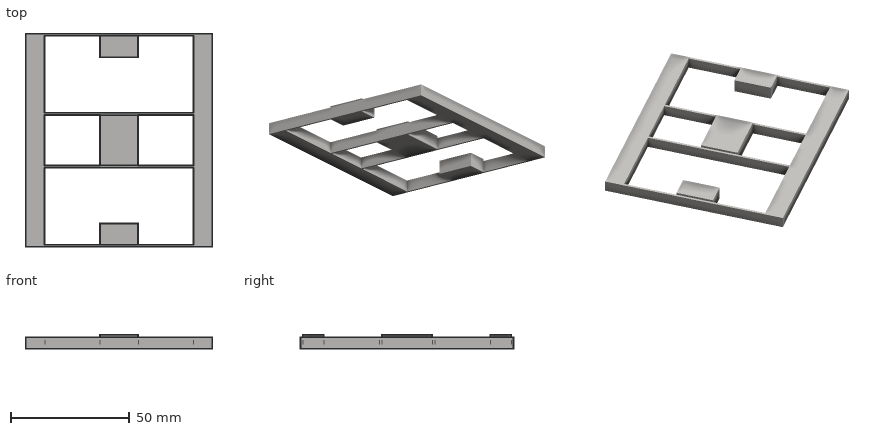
import cadquery as cq

frame_width = 79.2
frame_length = 90.4
frame_height = 5.0
rail_width = 8.1
wall_thickness = 1.0

block_width = 16.3
end_block_length = 9.0
center_block_length = 21.3
block_height = 6.0

opening_width = frame_width - 2 * rail_width
end_wall_y = (frame_length - wall_thickness) / 2
inner_wall_y = (center_block_length + wall_thickness) / 2
end_block_y = frame_length / 2 - wall_thickness - end_block_length / 2


def bar(size_x, size_y, height, x=0, y=0):
    """Upright box centered at (x, y) with its base on Z = 0."""
    return cq.Workplane("XY").box(size_x, size_y, height, centered=(True, True, False)).translate((x, y, 0))


result = bar(block_width, center_block_length, block_height)

for side in (-1, 1):
    rail_x = side * (frame_width - rail_width) / 2
    result = result.union(bar(rail_width, frame_length, frame_height, x=rail_x))
    for wall_y in (end_wall_y, inner_wall_y):
        result = result.union(bar(opening_width, wall_thickness, frame_height, y=side * wall_y))
    result = result.union(bar(block_width, end_block_length, block_height, y=side * end_block_y))